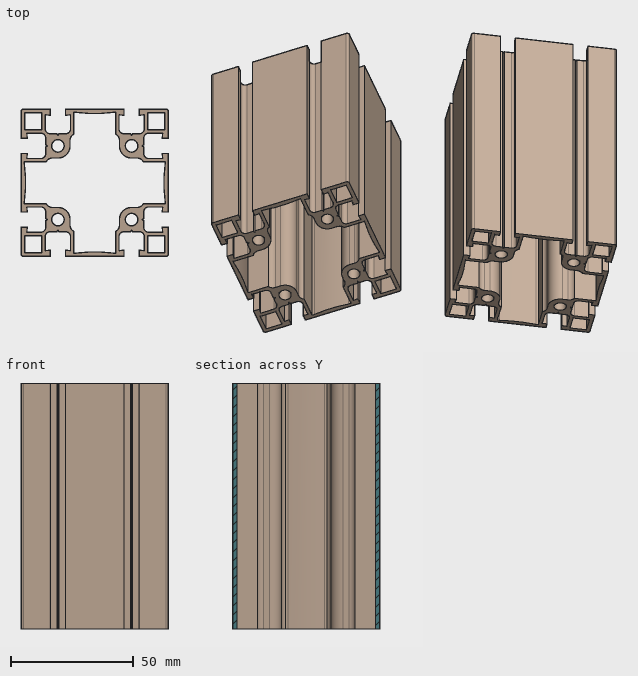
import cadquery as cq
import math

width = 60.0
length = 100.0
half_width = width / 2
corner_radius = 1.0

slot_axis = 15.0
slot_opening = 6.1
slot_cavity = 10.2
lip_tip_thickness = 2.6
lip_root_thickness = 2.4
slot_depth = 10.0
floor_radius = 1.9
notch_width = 0.8
notch_depth = 0.8

chamber_wall = 1.4
chamber_half_width = 8.5
crown_height = 0.5
crown_margin = 1.0

hole_diameter = 5.0
boss_radius = 5.0
flare_start = 17.3
flare_end = 19.8

tube_inner = 6.8
tube_axis = 25.0

SIDES = 4


def on_four_sides(shape):
    """Join four copies of a shape, turned to face the four sides of the profile."""
    joined = shape
    for side in range(1, SIDES):
        joined = joined.union(shape.rotate((0, 0, 0), (0, 0, 1), side * 360 / SIDES))
    return joined


def corner_points(distance):
    """The four points at this distance from both centre planes."""
    return [(x, y) for x in (-distance, distance) for y in (-distance, distance)]


def make_slot(axis_x):
    """Undercut slot opening on the +Y side, with sloped lips, rounded floor corners and a notch."""
    half_opening = slot_opening / 2
    half_cavity = slot_cavity / 2
    lip_tip_y = half_width - lip_tip_thickness
    lip_root_y = half_width - lip_root_thickness
    floor_y = half_width - slot_depth

    opening = (
        cq.Workplane("XY")
        .center(axis_x, half_width - slot_depth / 2)
        .rect(slot_opening, slot_depth)
        .extrude(length)
    )
    cavity = (
        cq.Workplane("XY")
        .moveTo(axis_x - half_cavity, floor_y)
        .lineTo(axis_x + half_cavity, floor_y)
        .lineTo(axis_x + half_cavity, lip_root_y)
        .lineTo(axis_x + half_opening, lip_tip_y)
        .lineTo(axis_x - half_opening, lip_tip_y)
        .lineTo(axis_x - half_cavity, lip_root_y)
        .close()
        .extrude(length)
        .edges("|Z and <Y")
        .fillet(floor_radius)
    )
    notch = (
        cq.Workplane("XY")
        .moveTo(axis_x - notch_width / 2, floor_y)
        .lineTo(axis_x, floor_y - notch_depth)
        .lineTo(axis_x + notch_width / 2, floor_y)
        .close()
        .extrude(length)
    )
    return opening.union(cavity).union(notch)


def make_chamber():
    """Cross-shaped chamber with crowned outer walls, reaching around the round bosses."""
    wall_y = half_width - chamber_wall
    crown_y = wall_y - crown_height
    crown_end = chamber_half_width - crown_margin
    boss_face = slot_axis - boss_radius
    arc_middle = slot_axis - boss_radius * math.sqrt(0.5)

    flare_run = flare_end - flare_start
    flare_rise = boss_face - chamber_half_width
    flare_radius = (flare_run**2 + flare_rise**2) / (2 * flare_rise)
    flare_half_angle = math.atan2(flare_rise, flare_run)
    flare_middle_x = flare_start + flare_radius * math.sin(flare_half_angle)
    flare_middle_y = boss_face - flare_radius * (1 - math.cos(flare_half_angle))

    arm = (
        cq.Workplane("XY")
        .moveTo(-chamber_half_width, 0)
        .lineTo(-chamber_half_width, wall_y)
        .lineTo(-crown_end, wall_y)
        .threePointArc((0, crown_y), (crown_end, wall_y))
        .lineTo(chamber_half_width, wall_y)
        .lineTo(chamber_half_width, 0)
        .close()
        .extrude(length)
    )
    corner = (
        cq.Workplane("XY")
        .lineTo(0, flare_end)
        .lineTo(chamber_half_width, flare_end)
        .threePointArc((flare_middle_y, flare_middle_x), (boss_face, flare_start))
        .lineTo(boss_face, slot_axis)
        .threePointArc((arc_middle, arc_middle), (slot_axis, boss_face))
        .lineTo(flare_start, boss_face)
        .threePointArc((flare_middle_x, flare_middle_y), (flare_end, chamber_half_width))
        .lineTo(flare_end, 0)
        .close()
        .extrude(length)
    )
    return on_four_sides(arm.union(corner))


body = cq.Workplane("XY").rect(width, width).extrude(length).edges("|Z").fillet(corner_radius)
slots = on_four_sides(make_slot(-slot_axis).union(make_slot(slot_axis)))
holes = cq.Workplane("XY").pushPoints(corner_points(slot_axis)).circle(hole_diameter / 2).extrude(length)
tubes = cq.Workplane("XY").pushPoints(corner_points(tube_axis)).rect(tube_inner, tube_inner).extrude(length)

result = body.cut(slots).cut(make_chamber()).cut(holes).cut(tubes)